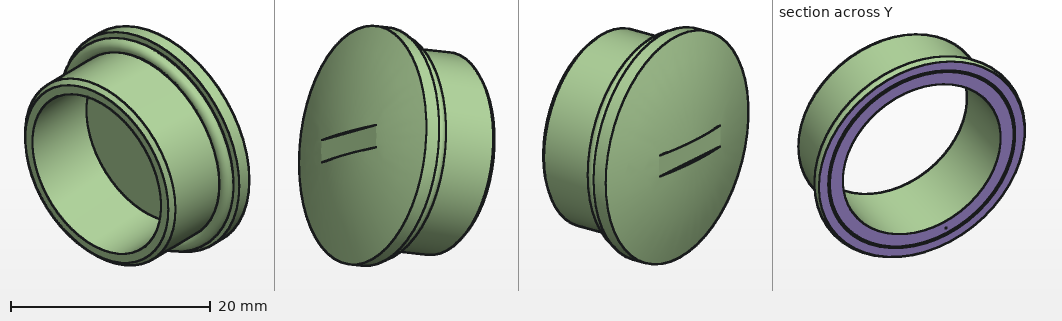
import cadquery as cq

flange_radius = 12.0
flange_thickness = 1.5
dome_height = 1.97

barrel_length = 8.0
barrel_radius = 10.2
chamfer_size = 0.5

pocket_radius = 8.7
pocket_depth = 8.0

ring_section_radius = 0.72
ring_outer_radius = 11.6
ring_length = 1.4

slot_width = 2.25
slot_depth = 0.35

flange_seat = barrel_length
dome_base = flange_seat + flange_thickness
dome_apex = dome_base + dome_height


def make_body():
    """Revolve the solid barrel, flange and spherical dome about Y."""
    sphere_radius = (flange_radius**2 + dome_height**2) / (2 * dome_height)
    mid_radius = flange_radius / 2
    sphere_center = dome_apex - sphere_radius
    mid_height = sphere_center + (sphere_radius**2 - mid_radius**2) ** 0.5
    return (
        cq.Workplane("XY")
        .moveTo(0, 0)
        .lineTo(barrel_radius - chamfer_size, 0)
        .lineTo(barrel_radius, chamfer_size)
        .lineTo(barrel_radius, flange_seat)
        .lineTo(flange_radius, flange_seat)
        .lineTo(flange_radius, dome_base)
        .threePointArc((mid_radius, mid_height), (0, dome_apex))
        .close()
        .revolve(360, (0, 0), (0, 1))
    )


def make_ring():
    """Revolve the round section of the sealing ring about Y."""
    center_radius = ring_outer_radius - ring_section_radius
    center_height = flange_seat - ring_length + ring_section_radius
    return (
        cq.Workplane("XY")
        .center(center_radius, center_height)
        .circle(ring_section_radius)
        .revolve(360, (-center_radius, 0), (-center_radius, 1))
    )


def make_pocket():
    """Round pocket cut in from the free end."""
    return cq.Workplane("XZ").circle(pocket_radius).extrude(-pocket_depth)


def make_slot():
    """Straight slot along X, running out through both sides of the dome."""
    return (
        cq.Workplane("XY")
        .box(2 * flange_radius, slot_depth, slot_width)
        .translate((0, dome_apex - slot_depth / 2, 0))
    )


result = make_body().union(make_ring()).cut(make_pocket()).cut(make_slot())